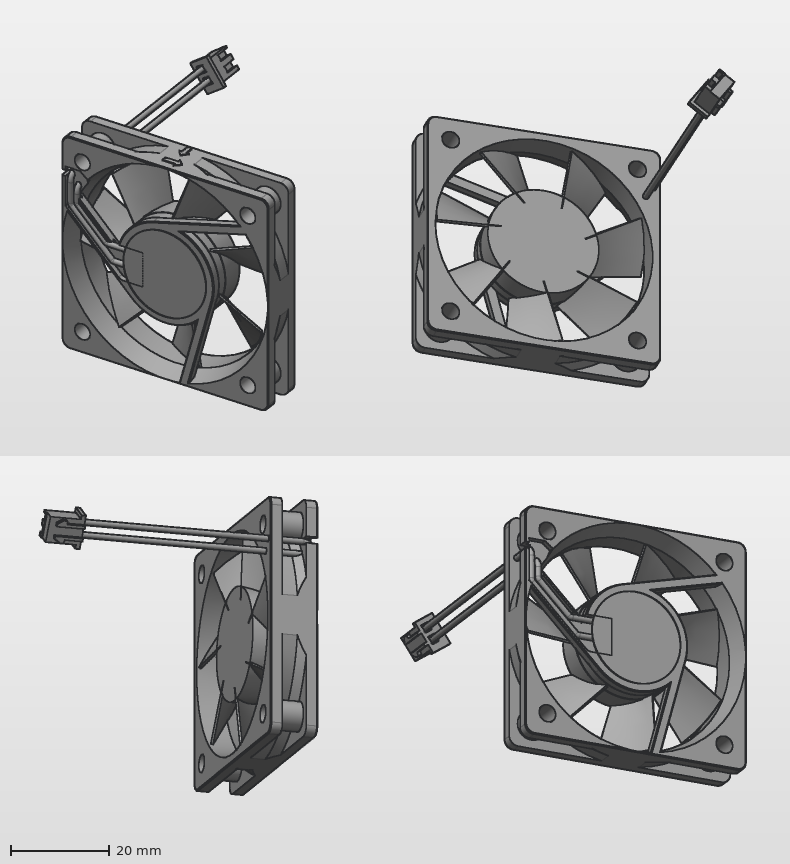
import cadquery as cq
import math


FRAME_SIDE = 50.0
FRAME_DEPTH = 10.15
CORNER_RADIUS = 2.0
EDGE_CHAMFER = 0.25
FRONT_FLANGE = 2.5
BACK_FLANGE = 2.55
BORE_DIAMETER = 46.55
BORE_MOUTH_DIAMETER = 49.65
FLARE_DEPTH = 4.4
SHROUD_DIAMETER = 50.7
SHROUD_FLARE_DIAMETER = 52.7
HOLE_DIAMETER = 3.7
HOLE_PITCH = 40.05
POST_DIAMETER = 6.25
HALF_SIDE = FRAME_SIDE / 2

BASE_DIAMETER = 23.5
BASE_THICKNESS = 2.0
SPOKE_WIDTH = 2.1
CABLE_SPOKE_WIDTH = 4.75
SPOKE_ANGLES = (15, 255)
CABLE_SPOKE_ANGLE = 135
SPOKE_REACH = 26.7

RECESS_LEFT = -24.15
RECESS_TOP = 17.75
RECESS_CORNER = (-20.6, 17.75)
RECESS_MOUTH = (-18.8, 16.3)
UPPER_WALL_START = -20.95
RECESS_INNER_X = -5.45
RECESS_INNER_TOP = 3.25
RECESS_INNER_BOTTOM = -4.8
CABLE_WALL = 0.7
RECESS_FILLET = 1.75
NOTCH_WIDTH = 1.4

ARROW_HEIGHT = 0.25
ARROW_LENGTH = 4.45
FLOW_ARROW_LENGTH = 3.5
SPIN_ARROW_PLACE = (0.2, 2.8)
FLOW_ARROW_PLACE = (0, 7.55)
ARROW_HEAD = 1.4
ARROW_HEAD_WIDTH = 2.45
ARROW_SHAFT_WIDTH = 1.1

LABEL_DIAMETER = 20.0
LABEL_THICKNESS = 0.25

HUB_FRONT = 2.1
HUB_STEP = 4.35
HUB_BACK = 9.65
HUB_FRONT_DIAMETER = 23.5
HUB_DIAMETER = 23.8
TIP_DIAMETER = 45.6
BLADE_COUNT = 7
BLADE_ANGLE = 67.0
BLADE_THICKNESS = 0.5
BLADE_ROOT = (9.3, (4.2, 2.3), (-0.9, 9.4), 0.45)
BLADE_END = (24.35, (5.2, 3.6), (-6.1, 9.4), 0.2)

WIRE_DIAMETER = 1.3
WIRE_RADIUS = WIRE_DIAMETER / 2
WIRE_DEPTH = 0.7
RECESS_DEPTH = WIRE_DEPTH + WIRE_RADIUS
ENTRY_BEND = 2.0
CHANNEL_BEND = 0.85
WIRE_RUNS = ((8.9, -1.4), (9.5, 2.3))

PLUG_X = -21.95
PLUG_Z = 15.2
PLUG_ANGLE = 35.0
PLUG_FRONT = 50.1
PLUG_BACK = 57.8
PLUG_STEP = 0.25
COLLAR_SHORT = 4.8
LATCH_SIDE = -COLLAR_SHORT / 2
COLLAR_LONG = 7.3
COLLAR_THICKNESS = 0.9
BODY_SHORT = 4.0
BODY_LONG = 5.55
STEP_PLACE = 0.05
CONTACT_PITCH = 2.7
CONTACT_MIDDLE = (-0.6, 0.25)
WIRE_POCKET = 1.75
WIRE_POCKET_DEPTH = 0.9
SLOT_WIDTH = 1.45
SLOT_DEPTH = 1.15
SLOT_LENGTH = 3.5
LATCH_HEIGHT = 0.85
LATCH_INNER = 1.05
LATCH_OUTER = 1.7
BARB_OUTER = 2.45
BARB_START = 53.85
BARB_PEAK = (54.1, 54.9)
LATCH_END = 56.05


def disc(diameter, y_front, y_back):
    return cq.Workplane("XZ", origin=(0, y_front, 0)).circle(diameter / 2).extrude(y_front - y_back)


def cone(front_diameter, back_diameter, y_front, y_back):
    return (
        cq.Workplane("XZ", origin=(0, y_front, 0))
        .circle(front_diameter / 2)
        .workplane(offset=y_front - y_back)
        .circle(back_diameter / 2)
        .loft()
    )


def turned(solid, degrees):
    """Turn a shape about the fan axis, counted from +X toward +Z."""
    return solid.rotate((0, 0, 0), (0, -1, 0), degrees)


def plug_plane(y):
    """Plane across the connector: local x along its short side, local y along its long side."""
    angle = math.radians(PLUG_ANGLE)
    return cq.Plane((PLUG_X, y, PLUG_Z), (math.cos(angle), 0, math.sin(angle)), (0, -1, 0))


def contact_places():
    short, long = CONTACT_MIDDLE
    return [(short, long + CONTACT_PITCH / 2), (short, long - CONTACT_PITCH / 2)]


def latch(side):
    """Spring arm with an outward barb on the latch face, on the upper (1) or lower (-1) half."""
    across = plug_plane(0)
    plane = cq.Plane(across.toWorldCoords((LATCH_SIDE, 0, 0)), across.yDir, -across.xDir)
    outline = [
        (LATCH_INNER, PLUG_FRONT),
        (LATCH_INNER, LATCH_END),
        (LATCH_OUTER, LATCH_END),
        (BARB_OUTER, BARB_PEAK[1]),
        (BARB_OUTER, BARB_PEAK[0]),
        (LATCH_OUTER, BARB_START),
        (LATCH_OUTER, PLUG_FRONT),
    ]
    points = [(side * across_side, y) for across_side, y in outline]
    return cq.Workplane(plane).polyline(points).close().extrude(LATCH_HEIGHT)


def make_connector():
    body_middle = LATCH_SIDE + BODY_SHORT / 2
    body_top = LATCH_SIDE + BODY_SHORT
    plug = (
        cq.Workplane(plug_plane(PLUG_FRONT))
        .rect(COLLAR_SHORT, COLLAR_LONG)
        .extrude(-COLLAR_THICKNESS)
    )
    body = (
        cq.Workplane(plug_plane(PLUG_FRONT))
        .center(body_middle, 0)
        .rect(BODY_SHORT, BODY_LONG)
        .extrude(PLUG_FRONT - PLUG_BACK)
    )
    plug = plug.union(body)
    shortened = (
        cq.Workplane(plug_plane(PLUG_BACK))
        .center(STEP_PLACE - BODY_SHORT / 2, 0)
        .rect(BODY_SHORT, BODY_LONG)
        .extrude(PLUG_STEP)
    )
    plug = plug.cut(shortened)
    slots = (
        cq.Workplane(plug_plane(PLUG_BACK))
        .pushPoints([(body_top - SLOT_DEPTH / 2, long) for _, long in contact_places()])
        .rect(SLOT_DEPTH, SLOT_WIDTH)
        .extrude(SLOT_LENGTH)
    )
    pockets = (
        cq.Workplane(plug_plane(PLUG_FRONT))
        .pushPoints(contact_places())
        .rect(WIRE_POCKET, WIRE_POCKET)
        .extrude(-WIRE_POCKET_DEPTH)
    )
    plug = plug.cut(slots).cut(pockets)
    for side in (1, -1):
        plug = plug.union(latch(side))
    return plug


def rounded_path(points, radii):
    """A path through the points, with a tangent arc of the given radius at each inner point."""
    edges = []
    start = cq.Vector(*points[0])
    for before, corner, after, radius in zip(points, points[1:], points[2:], radii):
        corner = cq.Vector(*corner)
        back = (cq.Vector(*before) - corner).normalized()
        ahead = (cq.Vector(*after) - corner).normalized()
        half_angle = back.getAngle(ahead) / 2
        setback = radius / math.tan(half_angle)
        bisector = (back + ahead).normalized()
        arc_start = corner + back * setback
        arc_middle = corner + bisector * (radius / math.sin(half_angle) - radius)
        arc_end = corner + ahead * setback
        edges.append(cq.Edge.makeLine(start, arc_start))
        edges.append(cq.Edge.makeThreePointArc(arc_start, arc_middle, arc_end))
        start = arc_end
    edges.append(cq.Edge.makeLine(start, cq.Vector(*points[-1])))
    return cq.Wire.assembleEdges(edges)


def make_wire(place, run):
    entry = plug_plane(PLUG_FRONT + WIRE_POCKET_DEPTH).toWorldCoords((*place, 0))
    corner_z, end_z = run
    end_corner_x = entry.x + corner_z - end_z
    points = [
        entry.toTuple(),
        (entry.x, WIRE_DEPTH, entry.z),
        (entry.x, WIRE_DEPTH, corner_z),
        (end_corner_x, WIRE_DEPTH, end_z),
        (0, WIRE_DEPTH, end_z),
    ]
    path = rounded_path(points, (ENTRY_BEND, CHANNEL_BEND, CHANNEL_BEND))
    start_plane = cq.Plane(entry, (1, 0, 0), (0, -1, 0))
    return cq.Workplane(start_plane).circle(WIRE_RADIUS).sweep(cq.Workplane(path))


def make_wires():
    return [make_wire(place, run) for place, run in zip(contact_places(), WIRE_RUNS)]


def make_cable(wires):
    cable = make_connector()
    for wire in wires:
        cable = cable.union(wire)
    return cable


def flange(y_front, thickness, outer_face):
    return (
        cq.Workplane("XZ", origin=(0, y_front, 0))
        .rect(FRAME_SIDE, FRAME_SIDE)
        .extrude(-thickness)
        .edges("|Y")
        .fillet(CORNER_RADIUS)
        .faces(outer_face)
        .edges()
        .chamfer(EDGE_CHAMFER)
    )


def hole_circles(diameter, y_front):
    return (
        cq.Workplane("XZ", origin=(0, y_front, 0))
        .rect(HOLE_PITCH, HOLE_PITCH, forConstruction=True)
        .vertices()
        .circle(diameter / 2)
    )


def make_ring():
    back_flange_front = FRAME_DEPTH - BACK_FLANGE
    ring = disc(SHROUD_DIAMETER, FLARE_DEPTH, back_flange_front)
    ring = ring.union(cone(SHROUD_FLARE_DIAMETER, SHROUD_DIAMETER, FRONT_FLANGE, FLARE_DEPTH))
    ring = ring.union(hole_circles(POST_DIAMETER, FRONT_FLANGE).extrude(FRONT_FLANGE - back_flange_front))
    ring = ring.intersect(cq.Workplane("XY").box(FRAME_SIDE, 2 * FRAME_DEPTH, FRAME_SIDE))
    ring = ring.union(flange(0, FRONT_FLANGE, "<Y"))
    ring = ring.union(flange(back_flange_front, BACK_FLANGE, ">Y"))
    ring = ring.cut(hole_circles(HOLE_DIAMETER, 0).extrude(-FRAME_DEPTH))
    ring = ring.cut(disc(BORE_DIAMETER, 0, FRAME_DEPTH))
    return ring.cut(cone(BORE_MOUTH_DIAMETER, BORE_DIAMETER, 0, FLARE_DEPTH))


def spoke(width, degrees):
    """Bar whose outer side is tangent to the motor base; it leaves along the given direction."""
    bar = (
        cq.Workplane("XZ")
        .center(SPOKE_REACH / 2, BASE_DIAMETER / 2 - width / 2)
        .rect(SPOKE_REACH, width)
        .extrude(-BASE_THICKNESS)
    )
    return turned(bar, degrees)


def make_base():
    base = disc(BASE_DIAMETER, 0, BASE_THICKNESS)
    for degrees in SPOKE_ANGLES:
        base = base.union(spoke(SPOKE_WIDTH, degrees))
    base = base.union(spoke(CABLE_SPOKE_WIDTH, CABLE_SPOKE_ANGLE))
    base = base.faces("<Y").edges().chamfer(EDGE_CHAMFER)
    return base.intersect(disc(BORE_MOUTH_DIAMETER + 2 * EDGE_CHAMFER, 0, BASE_THICKNESS))


def cable_recess():
    wall_sum = -(BASE_DIAMETER / 2 - CABLE_WALL) * math.sqrt(2)
    upper_edge_sum = -(BASE_DIAMETER / 2 - CABLE_SPOKE_WIDTH) * math.sqrt(2)
    upper_wall_sum = upper_edge_sum - CABLE_WALL * math.sqrt(2)
    recess = (
        cq.Workplane("XZ")
        .moveTo(RECESS_INNER_X, RECESS_INNER_TOP)
        .lineTo(RECESS_INNER_X, RECESS_INNER_BOTTOM)
        .lineTo(wall_sum - RECESS_INNER_BOTTOM, RECESS_INNER_BOTTOM)
        .lineTo(RECESS_LEFT, wall_sum - RECESS_LEFT)
        .lineTo(RECESS_LEFT, RECESS_TOP)
        .lineTo(*RECESS_CORNER)
        .lineTo(*RECESS_MOUTH)
        .lineTo(UPPER_WALL_START, upper_edge_sum - UPPER_WALL_START)
        .lineTo(UPPER_WALL_START, upper_wall_sum - UPPER_WALL_START)
        .lineTo(upper_wall_sum - RECESS_INNER_TOP, RECESS_INNER_TOP)
        .close()
        .extrude(-RECESS_DEPTH)
    )
    corner = (wall_sum - RECESS_INNER_BOTTOM, RECESS_DEPTH / 2, RECESS_INNER_BOTTOM)
    return recess.edges(cq.NearestToPointSelector(corner)).fillet(RECESS_FILLET)


def wire_notch():
    """Gap in the left edge of the front flange, level with the upper wire."""
    upper = plug_plane(0).toWorldCoords((*contact_places()[0], 0))
    length = upper.x + HALF_SIDE
    return (
        cq.Workplane("XZ")
        .center(upper.x - length / 2, upper.z)
        .rect(length, NOTCH_WIDTH)
        .extrude(-FRONT_FLANGE)
    )


def arrow(length, middle_x, middle_y, degrees):
    """Raised arrow on the top side, pointing from +X toward +Y by the given angle."""
    neck = length / 2 - ARROW_HEAD
    half_shaft = ARROW_SHAFT_WIDTH / 2
    outline = [
        (-length / 2, -half_shaft),
        (neck, -half_shaft),
        (neck, -ARROW_HEAD_WIDTH / 2),
        (length / 2, 0),
        (neck, ARROW_HEAD_WIDTH / 2),
        (neck, half_shaft),
        (-length / 2, half_shaft),
    ]
    return (
        cq.Workplane("XY", origin=(middle_x, middle_y, HALF_SIDE))
        .transformed(rotate=(0, 0, degrees))
        .polyline(outline)
        .close()
        .extrude(ARROW_HEIGHT)
    )


def make_frame(wires):
    frame = make_ring().union(make_base())
    frame = frame.cut(cable_recess()).cut(wire_notch())
    frame = frame.union(arrow(ARROW_LENGTH, *SPIN_ARROW_PLACE, 0))
    frame = frame.union(arrow(FLOW_ARROW_LENGTH, *FLOW_ARROW_PLACE, -90))
    for wire in wires:
        frame = frame.cut(wire)
    return frame


def blade_section(distance, front_edge, back_edge, bow):
    """Curved profile across a blade that lies along +X; sideways offsets count toward +Z."""
    plane = cq.Plane((distance, 0, 0), (0, 0, -1), (1, 0, 0))
    front = cq.Vector(-front_edge[0], front_edge[1])
    back = cq.Vector(-back_edge[0], back_edge[1])
    chord = (back - front).normalized()
    shift = cq.Vector(-chord.y, chord.x) * BLADE_THICKNESS
    middle = (front + back) * 0.5 + cq.Vector(0, bow)
    face = cq.Edge.makeThreePointArc(front, middle, back)
    rear_face = face.translate(shift)
    sides = [cq.Edge.makeLine(front, front + shift), cq.Edge.makeLine(back, back + shift)]
    outline = cq.Wire.assembleEdges([sides[0], rear_face, sides[1], face])
    return outline.moved(cq.Location(plane))


def make_rotor():
    rotor = disc(HUB_FRONT_DIAMETER, HUB_FRONT, HUB_STEP).union(disc(HUB_DIAMETER, HUB_STEP, HUB_BACK))
    blade = cq.Solid.makeLoft([blade_section(*BLADE_ROOT), blade_section(*BLADE_END)], True)
    blade = cq.Workplane(blade).intersect(disc(TIP_DIAMETER, 0, FRAME_DEPTH))
    for index in range(BLADE_COUNT):
        rotor = rotor.union(turned(blade, BLADE_ANGLE + index * 360 / BLADE_COUNT))
    return rotor


wires = make_wires()
frame = make_frame(wires)
rotor = make_rotor()
label = disc(LABEL_DIAMETER, -LABEL_THICKNESS, 0)
cable = make_cable(wires)

bodies = (frame, rotor, label, cable)
result = cq.Compound.makeCompound([body.solids().val() for body in bodies])